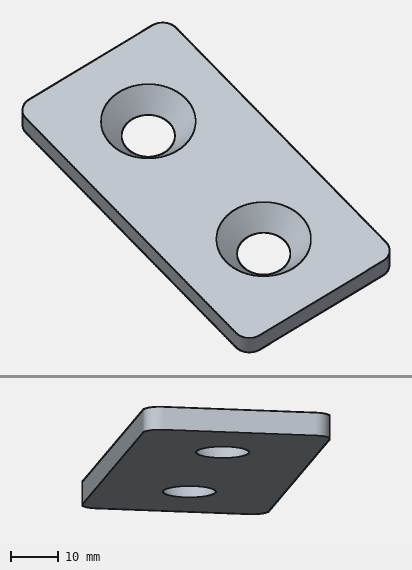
import cadquery as cq

length = 80.0
width = length / 2
thickness = 5.0
corner_radius = 3.6

hole_spacing = length / 2
hole_top_diameter = 20.0
hole_bottom_diameter = 11.2


def conical_hole(x):
    """Cutting cone through the full plate thickness, centred at x."""
    return cq.Workplane(
        cq.Solid.makeCone(
            hole_bottom_diameter / 2,
            hole_top_diameter / 2,
            thickness,
            pnt=cq.Vector(x, 0, 0),
        )
    )


plate = (
    cq.Workplane("XY")
    .box(length, width, thickness, centered=(True, True, False))
    .edges("|Z")
    .fillet(corner_radius)
)

for side in (-1, 1):
    plate = plate.cut(conical_hole(side * hole_spacing / 2))

result = plate